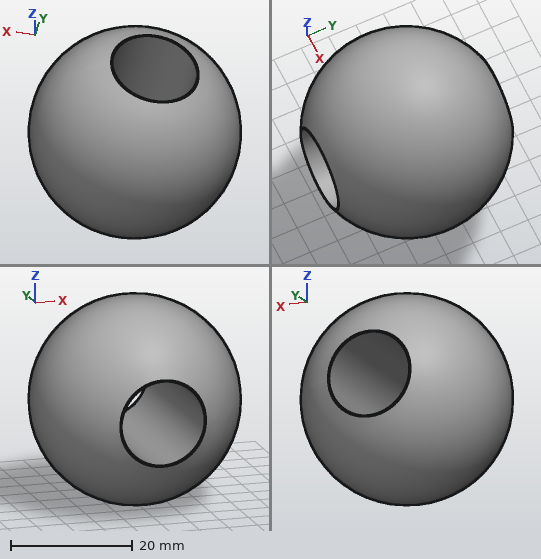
import math

import cadquery as cq

ball_diameter = 35.0
width_across_flats = 31.75
bore_diameter = 14.3

ball_radius = ball_diameter / 2
half_width = width_across_flats / 2
bore_radius = bore_diameter / 2

flat_radius = math.sqrt(ball_radius**2 - half_width**2)

half_section = (
    cq.Workplane("XY")
    .moveTo(bore_radius, -half_width)
    .lineTo(flat_radius, -half_width)
    .threePointArc((ball_radius, 0), (flat_radius, half_width))
    .lineTo(bore_radius, half_width)
    .close()
)

result = half_section.revolve(360, (0, 0, 0), (0, 1, 0))